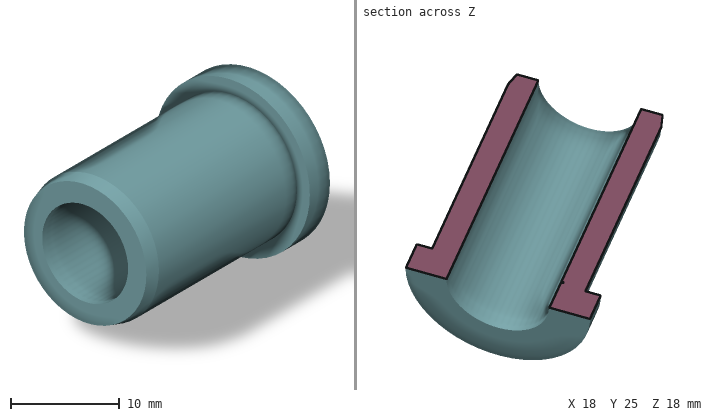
import cadquery as cq
import math

length = 25.0
flange_diameter = 18.0
flange_thickness = 3.0
body_diameter = 15.0
bore_diameter = 10.0

taper_length = 1.4
taper_angle = 15.0

front_y = -length / 2
back_y = length / 2
flange_y = back_y - flange_thickness
taper_y = front_y + taper_length

bore_radius = bore_diameter / 2
body_radius = body_diameter / 2
flange_radius = flange_diameter / 2
tip_radius = body_radius - taper_length * math.tan(math.radians(taper_angle))

wall_section = (
    cq.Workplane("XY")
    .moveTo(bore_radius, front_y)
    .lineTo(tip_radius, front_y)
    .lineTo(body_radius, taper_y)
    .lineTo(body_radius, flange_y)
    .lineTo(flange_radius, flange_y)
    .lineTo(flange_radius, back_y)
    .lineTo(bore_radius, back_y)
    .close()
)

result = wall_section.revolve(360, (0, 0, 0), (0, 1, 0))